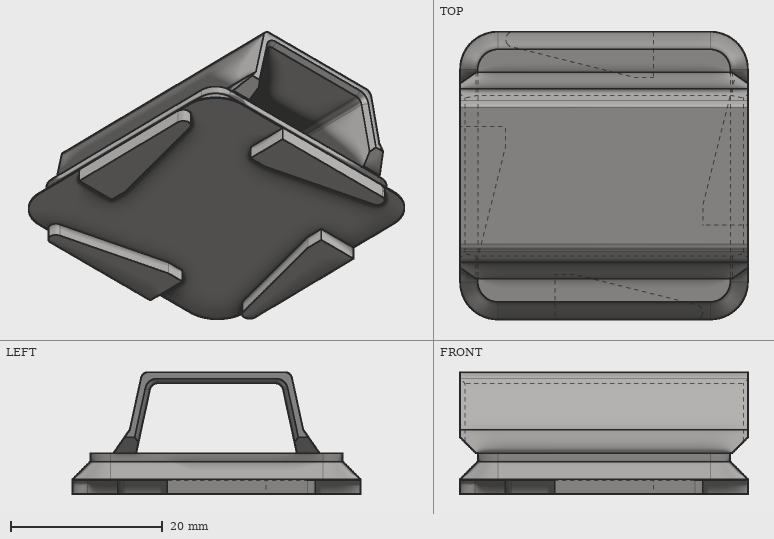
import cadquery as cq
import math

plate_side = 38.0
plate_corner_radius = 5.0
rim_bottom = 1.8
rim_thickness = 0.15
slope_size = 2.35
plate_top = 5.4

foot_count = 4
foot_blunt_x = -6.5
foot_tip_x = 13.0
foot_tip_radius = 1.0
foot_max_width = 6.0
foot_taper_angle = 14.0

tunnel_top = 16.1
tunnel_foot_half_width = 13.6
tunnel_knee_half_width = 11.45
tunnel_knee_z = 8.5
tunnel_top_half_width = 9.8
tunnel_corner_radius = 1.0
tunnel_wall = 1.5
mouth_flare = 0.65
end_undercut = 2.1

half_side = plate_side / 2
rim_top = rim_bottom + rim_thickness
slope_top = rim_top + slope_size


def make_plate():
    """Chamfered block forming the rim and sloped flank, topped by a smaller upright block."""
    rim = (
        cq.Workplane("XY", origin=(0, 0, rim_bottom))
        .rect(plate_side, plate_side)
        .extrude(slope_top - rim_bottom)
        .edges("|Z")
        .fillet(plate_corner_radius)
        .faces(">Z")
        .chamfer(slope_size)
    )
    upper_side = plate_side - 2 * slope_size
    upper = (
        cq.Workplane("XY", origin=(0, 0, slope_top))
        .rect(upper_side, upper_side)
        .extrude(plate_top - slope_top)
        .edges("|Z")
        .fillet(plate_corner_radius - slope_size)
    )
    return rim.union(upper)


def make_foot():
    """Foot flush with the -Y side: full width at its blunt -X end, tapering to a round tip at +X."""
    taper = math.radians(foot_taper_angle)
    tip_center_x = foot_tip_x - foot_tip_radius
    tip_center_y = -half_side + foot_tip_radius
    inner_tangent_x = tip_center_x + foot_tip_radius * math.sin(taper)
    inner_tangent_y = tip_center_y + foot_tip_radius * math.cos(taper)
    full_width_y = -half_side + foot_max_width
    taper_end_x = inner_tangent_x - (full_width_y - inner_tangent_y) / math.tan(taper)
    return (
        cq.Workplane("XY")
        .moveTo(foot_blunt_x, -half_side)
        .lineTo(tip_center_x, -half_side)
        .threePointArc((foot_tip_x, tip_center_y), (inner_tangent_x, inner_tangent_y))
        .lineTo(taper_end_x, full_width_y)
        .lineTo(foot_blunt_x, full_width_y)
        .close()
        .extrude(rim_bottom)
    )


def make_tunnel_body():
    """Solid hood with flared feet, undercut at 45 degrees below both ends."""
    right_outline = [
        (tunnel_foot_half_width, plate_top),
        (tunnel_knee_half_width, tunnel_knee_z),
        (tunnel_top_half_width, tunnel_top),
    ]
    left_outline = [(-y, z) for y, z in reversed(right_outline)]
    hood = (
        cq.Workplane("YZ")
        .polyline(right_outline + left_outline)
        .close()
        .extrude(half_side, both=True)
        .edges("|X and >Z")
        .fillet(tunnel_corner_radius)
    )
    undercut_half_length = half_side - end_undercut
    end_profile = [
        (undercut_half_length, plate_top),
        (half_side, plate_top + end_undercut),
        (half_side, tunnel_top),
        (-half_side, tunnel_top),
        (-half_side, plate_top + end_undercut),
        (-undercut_half_length, plate_top),
    ]
    envelope = (
        cq.Workplane("XZ")
        .polyline(end_profile)
        .close()
        .extrude(tunnel_foot_half_width, both=True)
    )
    return hood.intersect(envelope)


def bore_section(x, offset):
    """Wire of the bore outline at x, grown outward by offset, with its floor on the plate."""
    wall = tunnel_wall - offset
    radius = tunnel_corner_radius + offset
    lean = (tunnel_knee_half_width - tunnel_top_half_width) / (tunnel_top - tunnel_knee_z)
    lean_angle = math.atan(lean)
    ceiling = tunnel_top - wall
    side_inset = wall / math.cos(lean_angle)
    floor_half_width = tunnel_top_half_width + lean * (tunnel_top - plate_top) - side_inset
    corner_half_width = tunnel_top_half_width + lean * wall - side_inset
    tangent_length = radius * math.tan((math.pi / 2 - lean_angle) / 2)
    flat_half_width = corner_half_width - tangent_length
    side_y = corner_half_width + tangent_length * math.sin(lean_angle)
    side_z = ceiling - tangent_length * math.cos(lean_angle)
    mid_angle = (math.pi / 2 + lean_angle) / 2
    mid_y = flat_half_width + radius * math.cos(mid_angle)
    mid_z = ceiling - radius + radius * math.sin(mid_angle)
    return (
        cq.Workplane("YZ", origin=(x, 0, 0))
        .moveTo(-floor_half_width, plate_top)
        .lineTo(floor_half_width, plate_top)
        .lineTo(side_y, side_z)
        .threePointArc((mid_y, mid_z), (flat_half_width, ceiling))
        .lineTo(-flat_half_width, ceiling)
        .threePointArc((-mid_y, mid_z), (-side_y, side_z))
        .close()
    )


def make_mouth_flare(side):
    """Flare that widens the bore by its own depth at one end; side is -1 or +1."""
    throat = bore_section(side * (half_side - mouth_flare), 0).val()
    mouth = bore_section(side * half_side, mouth_flare).val()
    return cq.Workplane(cq.Solid.makeLoft([throat, mouth], True))


def make_tunnel():
    tunnel = make_tunnel_body().cut(bore_section(-half_side, 0).extrude(plate_side))
    for side in (-1, 1):
        tunnel = tunnel.cut(make_mouth_flare(side))
    return tunnel


result = make_plate().union(make_tunnel())
foot = make_foot()
for index in range(foot_count):
    result = result.union(foot.rotate((0, 0, 0), (0, 0, 1), index * 360 / foot_count))